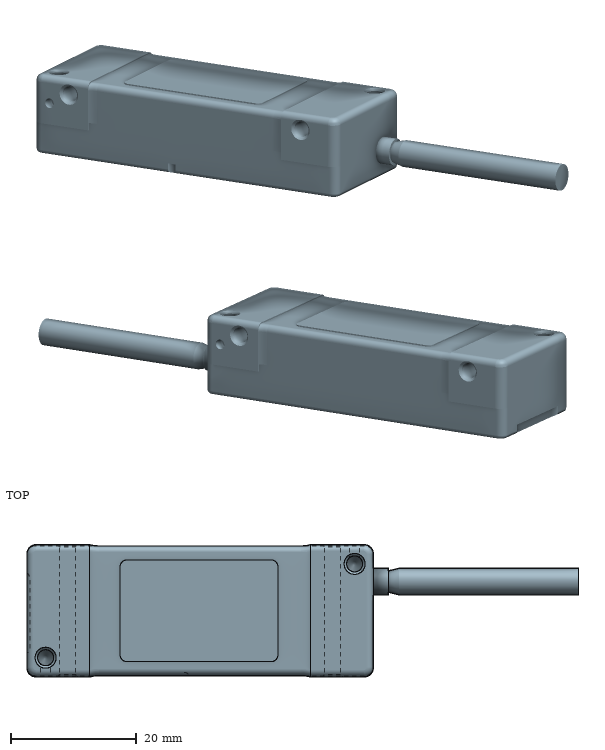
import cadquery as cq
import math

total_length = 87.6
width = 21.0
height = 13.0
body_length = 55.0

cap_step_y = 0.2
cap_step_z = 0.2
housing_width = width - 2 * cap_step_y
housing_height = height - cap_step_z
bottom_round = 0.6
top_round = 1.05

cap_length = 10.0
cap_bottom = 5.1
cap_corner_round = 1.5
housing_corner_round = cap_corner_round - cap_step_y
ramp_length = 1.5
ramp_bottom = 6.3

label_start = 14.8
label_length = 25.05
label_width = 16.1
label_corner_round = 1.05

hole_diameter = 2.5
countersink_diameter = 3.3
cross_hole_inset = 6.5
cross_hole_z = 10.5
screw_hole_inset = 3.0
screw_hole_y = 7.45
screw_hole_floor = 6.1
screw_hole_tip_depth = 0.8
window_diameter = 1.6
window_z = 8.6

side_notch_x = 25.05
side_notch_diameter = 1.4
side_notch_depth = 0.5
end_notch_width = 12.8
end_notch_y = -0.35
end_notch_depth = 0.5
end_notch_round = 1.6
notch_height = 1.6

cable_diameter = 4.3
cable_y = 4.6
cable_z = 4.3
sleeve_length = 2.4
cable_taper_length = 1.75
cable_neck_diameter = 3.4


def block(length, block_width, bottom, top):
    """Box starting at X = 0 and centred on Y."""
    return (
        cq.Workplane("XY")
        .workplane(offset=bottom)
        .box(length, block_width, top - bottom, centered=(False, True, False))
    )


def turn_around(shape):
    """Half turn about the vertical axis through the middle of the body."""
    middle = body_length / 2
    return shape.rotate((middle, 0, 0), (middle, 0, 1), 180)


def make_housing():
    housing = block(body_length, housing_width, 0, housing_height)
    housing = housing.edges("|Z").fillet(housing_corner_round)
    housing = housing.faces(">Z").edges().fillet(top_round)
    return housing.faces("<Z").edges().fillet(bottom_round)


def make_cap():
    cap = block(cap_length, width, cap_bottom, height)
    cap = cap.edges("|Z and <X").fillet(cap_corner_round)
    return cap.faces(">Z").edges("not >X").fillet(top_round)


def make_ramps():
    """Both hollow side ramps of one cap, joined through the housing."""
    ramp_end = cap_length + ramp_length
    ramp_middle = cap_length + ramp_length / 2
    middle_half_width = housing_width / 2 + cap_step_y / 4
    ramps = (
        cq.Workplane("XY")
        .workplane(offset=ramp_bottom)
        .moveTo(cap_length, -width / 2)
        .threePointArc((ramp_middle, -middle_half_width), (ramp_end, -housing_width / 2))
        .lineTo(ramp_end, housing_width / 2)
        .threePointArc((ramp_middle, middle_half_width), (cap_length, width / 2))
        .close()
        .extrude(housing_height - ramp_bottom)
    )
    return ramps.faces(">Z").edges("<Y or >Y").fillet(top_round)


def make_label():
    pad = block(label_length, label_width, housing_height, height)
    return pad.edges("|Z").fillet(label_corner_round).translate((label_start, 0, 0))


def make_cable():
    """Sleeve, tapered neck and cable as one turned profile."""
    radius = cable_diameter / 2
    neck_radius = cable_neck_diameter / 2
    sleeve_end = body_length + sleeve_length
    taper_end = sleeve_end + cable_taper_length
    root = body_length - cap_corner_round
    profile = [
        (root, 0),
        (root, radius),
        (sleeve_end, radius),
        (sleeve_end, neck_radius),
        (taper_end, radius),
        (total_length, radius),
        (total_length, 0),
    ]
    cable = cq.Workplane("XZ").polyline(profile).close().revolve(360, (0, 0, 0), (1, 0, 0))
    return cable.translate((0, cable_y, cable_z))


def make_cross_hole():
    """Hole across the full width, countersunk at both sides."""
    radius = hole_diameter / 2
    mouth_radius = countersink_diameter / 2
    sink_depth = mouth_radius - radius
    profile = [
        (0, -width / 2),
        (mouth_radius, -width / 2),
        (radius, sink_depth - width / 2),
        (radius, width / 2 - sink_depth),
        (mouth_radius, width / 2),
        (0, width / 2),
    ]
    hole = cq.Workplane("XY").polyline(profile).close().revolve(360, (0, 0, 0), (0, 1, 0))
    return hole.translate((cross_hole_inset, 0, cross_hole_z))


def make_screw_hole():
    """Blind countersunk hole with a pointed floor and a side window into it."""
    radius = hole_diameter / 2
    mouth_radius = countersink_diameter / 2
    profile = [
        (0, screw_hole_floor - screw_hole_tip_depth),
        (radius, screw_hole_floor),
        (radius, height - (mouth_radius - radius)),
        (mouth_radius, height),
        (0, height),
    ]
    hole = cq.Workplane("XZ").polyline(profile).close().revolve(360, (0, 0, 0), (0, 1, 0))
    window = (
        cq.Workplane("XZ", origin=(0, 0, window_z))
        .circle(window_diameter / 2)
        .extrude(width / 2 - screw_hole_y)
    )
    return hole.union(window).translate((screw_hole_inset, -screw_hole_y, 0))


def make_side_notch():
    """Upright round groove in the front side."""
    radius = side_notch_diameter / 2
    notch_y = side_notch_depth - radius - housing_width / 2
    groove = cq.Workplane("XY").circle(radius).extrude(notch_height)
    return groove.translate((side_notch_x, notch_y, 0))


def make_end_notch():
    """Shallow recess in the closed end, with ends that curve out to the surface."""
    round_run = math.sqrt(end_notch_depth * (2 * end_notch_round - end_notch_depth))
    floor_width = end_notch_width - 2 * round_run
    cutter_length = 2 * end_notch_round
    notch = block(cutter_length, floor_width + 2 * end_notch_round, 0, notch_height)
    notch = notch.edges("|Z and >X").fillet(end_notch_round)
    return notch.translate((end_notch_depth - cutter_length, end_notch_y, 0))


cap_with_ramps = make_cap().union(make_ramps())
cap_holes = make_cross_hole().union(make_screw_hole())

housing = make_housing().cut(make_side_notch()).cut(make_end_notch())
result = housing.union(cap_with_ramps).union(turn_around(cap_with_ramps))
result = result.union(make_label()).union(make_cable())
result = result.cut(cap_holes).cut(turn_around(cap_holes))